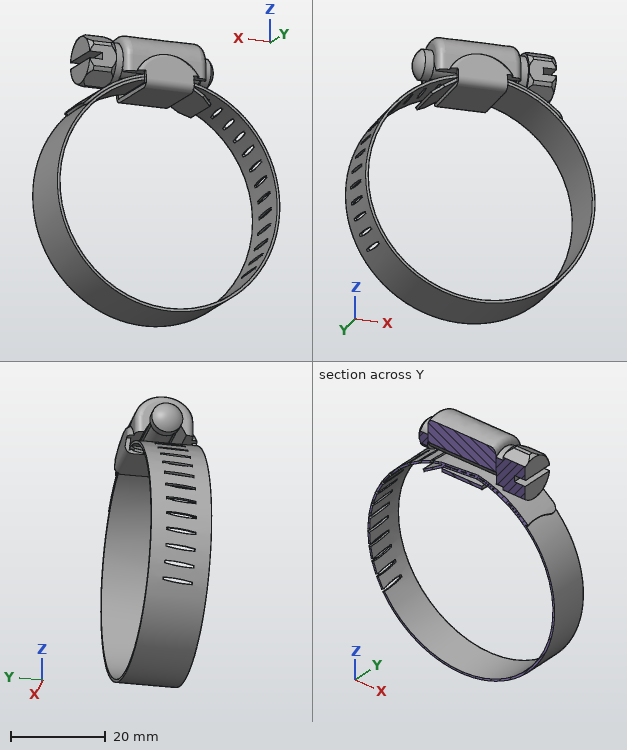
import cadquery as cq
import math


BAND_RADIUS = 25.6
BAND_THICKNESS = 0.6
BAND_WIDTH = 13.0
LAP_GAP = 0.03
FREE_END_ANGLE = 45.7
LIFT_END_ANGLE = 10.0
LIFT_START_ANGLE = -12.0
TAIL_LENGTH = 6.2
TAIL_SLOPE = 31.7
TAIL_BEND_SHIFT = 0.6
TAIL_TAPER_LENGTH = 2.55
TAIL_TAPER_WIDTH = 1.5
FREE_END_CORNER = 1.8
NOTCH_RADIUS = 10.55
NOTCH_DEPTH = 1.0

SLOT_COUNT = 14
FIRST_SLOT_ANGLE = -17.7
SLOT_PITCH = 8.0
SLOT_HALF_LENGTH = 3.15
SLOT_END_HALF_WIDTH = 0.25
SLOT_MID_HALF_WIDTH = 0.4
SLOT_SKEW = 0.3

HOUSING_CENTRE_X = 0.2
HOUSING_LENGTH = 18.75
HOUSING_HALF_WIDTH = 6.25
HOUSING_BOTTOM = 26.15
WALL_TOP = 29.7
ROOF_TOP = 60.7 - BAND_RADIUS
HOUSING_END_FILLET = 1.5

STRAP_LENGTH = 11.0
STRAP_THICKNESS = 0.9
STRAP_BOTTOM = 22.6
STRAP_HALF_WIDTH = 7.8
BEND_TOP = 24.3
STRAP_BOTTOM_HALF_WIDTH = 6.4
FLANK_LEAN = 9.0
LUG_RADIUS = 7.8
LUG_CENTRE_Z = 22.7
LUG_FILLET = 0.9

SCREW_Z = 28.95
NOSE_RADIUS = 3.35
NOSE_TIP_X = -12.75
NOSE_SHOULDER_X = -11.15
CORE_RADIUS = 2.8
COLLAR_RADIUS = 4.5
HEAD_START_X = 11.4
HEAD_END_X = 17.55
HEAD_ACROSS_FLATS = 10.15
HEAD_TURNED_RADIUS = 5.6
HEAD_CHAMFER_LENGTH = 1.0
HEAD_CHAMFER_DEPTH = 0.5
DRIVER_SLOT_WIDTH = 1.45
DRIVER_SLOT_DEPTH = 3.0

FLARE_TOP_Z = 28.4
FLARE_TOP_HALF_WIDTH = 3.2
FLARE_BOTTOM_HALF_WIDTH = 4.55

housing_start_x = HOUSING_CENTRE_X - HOUSING_LENGTH / 2
housing_end_x = HOUSING_CENTRE_X + HOUSING_LENGTH / 2


def polar(radius, angle):
    """Point (x, z) at an angle in degrees from +Z toward +X."""
    return radius * math.sin(math.radians(angle)), radius * math.cos(math.radians(angle))


def tangent_plane(radius, angle):
    """Plane touching a circle about Y: local x is +Y, local y is toward -angle."""
    x, z = polar(radius, angle)
    normal_x, normal_z = polar(1, angle)
    return cq.Plane(origin=(x, 0, z), xDir=(0, 1, 0), normal=(normal_x, 0, normal_z))


def end_corners(body, point):
    """The two corner edges of the band end whose end face is centred at (x, z)."""
    corners = [(point[0], side * BAND_WIDTH / 2, point[1]) for side in (-1, 1)]
    selectors = [cq.selectors.NearestToPointSelector(corner) for corner in corners]
    return body.edges(selectors[0] + selectors[1])


def make_slot(angle):
    """Cutter for one skewed slot with bowed sides, reaching through the outer band layer at the angle."""
    end_y = SLOT_HALF_LENGTH
    outline = (
        cq.Workplane(tangent_plane(BAND_RADIUS - 2 * BAND_THICKNESS, angle))
        .moveTo(-end_y, SLOT_SKEW + SLOT_END_HALF_WIDTH)
        .threePointArc((0, SLOT_MID_HALF_WIDTH), (end_y, -SLOT_SKEW + SLOT_END_HALF_WIDTH))
        .lineTo(end_y, -SLOT_SKEW - SLOT_END_HALF_WIDTH)
        .threePointArc((0, -SLOT_MID_HALF_WIDTH), (-end_y, SLOT_SKEW - SLOT_END_HALF_WIDTH))
        .close()
    )
    return outline.extrude(3 * BAND_THICKNESS)


def make_band():
    """One strip: free outer end, straight rise, ring, inner layer and tail, with slots."""
    inner_radius = BAND_RADIUS - BAND_THICKNESS
    lap_inner_radius = BAND_RADIUS + LAP_GAP
    lap_outer_radius = lap_inner_radius + BAND_THICKNESS
    lap_middle_angle = (FREE_END_ANGLE + LIFT_END_ANGLE) / 2

    tail_top = polar(inner_radius - LAP_GAP, LIFT_START_ANGLE)
    tail_bend_bottom = polar(inner_radius - LAP_GAP - BAND_THICKNESS, LIFT_START_ANGLE + TAIL_BEND_SHIFT)
    slope = math.radians(TAIL_SLOPE)
    tail_end_top = (
        tail_top[0] - TAIL_LENGTH * math.cos(slope),
        tail_top[1] - TAIL_LENGTH * math.sin(slope),
    )
    tail_end_bottom = (
        tail_end_top[0] + BAND_THICKNESS * math.sin(slope),
        tail_end_top[1] - BAND_THICKNESS * math.cos(slope),
    )

    outline = (
        cq.Workplane("XZ")
        .moveTo(*polar(lap_outer_radius, FREE_END_ANGLE))
        .threePointArc(polar(lap_outer_radius, lap_middle_angle), polar(lap_outer_radius, LIFT_END_ANGLE))
        .lineTo(*polar(BAND_RADIUS, LIFT_START_ANGLE))
        .threePointArc(polar(BAND_RADIUS, 180), polar(BAND_RADIUS, LIFT_END_ANGLE))
        .lineTo(*tail_top)
        .lineTo(*tail_end_top)
        .lineTo(*tail_end_bottom)
        .lineTo(*tail_bend_bottom)
        .lineTo(*polar(inner_radius, LIFT_END_ANGLE))
        .threePointArc(polar(inner_radius, 180), polar(inner_radius, LIFT_START_ANGLE))
        .lineTo(*polar(lap_inner_radius, LIFT_END_ANGLE))
        .threePointArc(polar(lap_inner_radius, lap_middle_angle), polar(lap_inner_radius, FREE_END_ANGLE))
        .close()
    )
    body = outline.extrude(BAND_WIDTH / 2, both=True)

    tail_end = ((tail_end_top[0] + tail_end_bottom[0]) / 2, (tail_end_top[1] + tail_end_bottom[1]) / 2)
    body = end_corners(body, tail_end).chamfer(TAIL_TAPER_LENGTH, TAIL_TAPER_WIDTH)
    free_end = polar(lap_inner_radius + BAND_THICKNESS / 2, FREE_END_ANGLE)
    body = end_corners(body, free_end).fillet(FREE_END_CORNER)

    notch = (
        cq.Workplane(tangent_plane(BAND_RADIUS + LAP_GAP / 2, FREE_END_ANGLE))
        .center(0, NOTCH_DEPTH - NOTCH_RADIUS)
        .circle(NOTCH_RADIUS)
        .extrude(2 * BAND_THICKNESS)
    )
    body = body.cut(notch)

    for index in range(SLOT_COUNT):
        body = body.cut(make_slot(FIRST_SLOT_ANGLE - index * SLOT_PITCH))
    return body


def flank_half_width(z):
    """Half width of the saddle's leaning outer flanks at a height."""
    return STRAP_HALF_WIDTH - (z - BEND_TOP) * math.tan(math.radians(FLANK_LEAN))


def make_shell():
    """Domed housing block with rounded end edges."""
    body = (
        cq.Workplane("YZ", origin=(housing_start_x, 0, 0))
        .moveTo(HOUSING_HALF_WIDTH, HOUSING_BOTTOM)
        .lineTo(HOUSING_HALF_WIDTH, WALL_TOP)
        .ellipseArc(HOUSING_HALF_WIDTH, ROOF_TOP - WALL_TOP, 0, 180, startAtCurrent=True)
        .lineTo(-HOUSING_HALF_WIDTH, HOUSING_BOTTOM)
        .close()
        .extrude(HOUSING_LENGTH)
    )
    for end in ("<X", ">X"):
        body = body.faces(end).edges("not <Z").fillet(HOUSING_END_FILLET)
    return body


def make_lugs():
    """Two rounded pads on the housing walls, made as one disc segment across the housing."""
    top_z = LUG_CENTRE_Z + LUG_RADIUS + LUG_FILLET
    wedge = (
        cq.Workplane("YZ", origin=(HOUSING_CENTRE_X, 0, 0))
        .polyline([
            (-flank_half_width(HOUSING_BOTTOM), HOUSING_BOTTOM),
            (-flank_half_width(top_z), top_z),
            (flank_half_width(top_z), top_z),
            (flank_half_width(HOUSING_BOTTOM), HOUSING_BOTTOM),
        ])
        .close()
        .extrude(LUG_RADIUS, both=True)
    )
    disc = (
        cq.Workplane("XZ")
        .center(HOUSING_CENTRE_X, LUG_CENTRE_Z)
        .circle(LUG_RADIUS)
        .extrude(STRAP_HALF_WIDTH, both=True)
    )
    lugs = wedge.intersect(disc)
    for side in ("<Y", ">Y"):
        lugs = lugs.faces(side).edges("not <Z").fillet(LUG_FILLET)
    return lugs


def make_strap():
    """Strap with bent lower corners that carries the band under the housing."""
    lug_top_half_width = flank_half_width(HOUSING_BOTTOM)
    bend_height = BEND_TOP - STRAP_BOTTOM
    bend_run = STRAP_HALF_WIDTH - STRAP_BOTTOM_HALF_WIDTH
    bend_middle_y = STRAP_BOTTOM_HALF_WIDTH + bend_run * math.sqrt(0.5)
    bend_middle_z = BEND_TOP - bend_height * math.sqrt(0.5)
    strap_start_x = HOUSING_CENTRE_X - STRAP_LENGTH / 2
    outer = (
        cq.Workplane("YZ", origin=(strap_start_x, 0, 0))
        .moveTo(-lug_top_half_width, HOUSING_BOTTOM)
        .lineTo(-STRAP_HALF_WIDTH, BEND_TOP)
        .threePointArc((-bend_middle_y, bend_middle_z), (-STRAP_BOTTOM_HALF_WIDTH, STRAP_BOTTOM))
        .lineTo(STRAP_BOTTOM_HALF_WIDTH, STRAP_BOTTOM)
        .threePointArc((bend_middle_y, bend_middle_z), (STRAP_HALF_WIDTH, BEND_TOP))
        .lineTo(lug_top_half_width, HOUSING_BOTTOM)
        .close()
        .extrude(STRAP_LENGTH)
    )
    floor_z = STRAP_BOTTOM + STRAP_THICKNESS
    passage_top = lug_top_half_width - STRAP_THICKNESS
    passage_bottom = STRAP_HALF_WIDTH - STRAP_THICKNESS
    passage = (
        cq.Workplane("YZ", origin=(strap_start_x, 0, 0))
        .polyline([
            (-passage_top, HOUSING_BOTTOM),
            (-passage_bottom, floor_z),
            (passage_bottom, floor_z),
            (passage_top, HOUSING_BOTTOM),
        ])
        .close()
        .extrude(STRAP_LENGTH)
    )
    return outer.cut(passage)


def make_screw_channel():
    """Round bore for the screw with a flared opening down to the housing's underside."""
    bore = (
        cq.Workplane("YZ", origin=(housing_start_x, 0, 0))
        .center(0, SCREW_Z)
        .circle(CORE_RADIUS)
        .extrude(HOUSING_LENGTH)
    )
    flare = (
        cq.Workplane("YZ", origin=(housing_start_x, 0, 0))
        .polyline([
            (-FLARE_TOP_HALF_WIDTH, FLARE_TOP_Z),
            (-FLARE_BOTTOM_HALF_WIDTH, HOUSING_BOTTOM),
            (FLARE_BOTTOM_HALF_WIDTH, HOUSING_BOTTOM),
            (FLARE_TOP_HALF_WIDTH, FLARE_TOP_Z),
        ])
        .close()
        .extrude(HOUSING_LENGTH)
    )
    return bore.union(flare)


def make_housing():
    return make_shell().union(make_lugs()).union(make_strap()).cut(make_screw_channel())


def revolve_about_screw_axis(outline):
    return outline.close().revolve(360, (0, 0, 0), (1, 0, 0))


def make_shank():
    """Domed nose, core inside the housing, and collar."""
    cap_height = NOSE_SHOULDER_X - NOSE_TIP_X
    cap_radius = (NOSE_RADIUS**2 + cap_height**2) / (2 * cap_height)
    half_angle = math.asin(NOSE_RADIUS / cap_radius) / 2
    cap_middle = (
        NOSE_TIP_X + cap_radius * (1 - math.cos(half_angle)),
        cap_radius * math.sin(half_angle),
    )
    outline = (
        cq.Workplane("XZ", origin=(0, 0, SCREW_Z))
        .moveTo(NOSE_TIP_X, 0)
        .threePointArc(cap_middle, (NOSE_SHOULDER_X, NOSE_RADIUS))
        .lineTo(housing_start_x, NOSE_RADIUS)
        .lineTo(housing_start_x, CORE_RADIUS)
        .lineTo(housing_end_x, CORE_RADIUS)
        .lineTo(housing_end_x, COLLAR_RADIUS)
        .lineTo(HEAD_START_X, COLLAR_RADIUS)
        .lineTo(HEAD_START_X, 0)
    )
    return revolve_about_screw_axis(outline)


def make_head():
    """Hexagon with corners at top and bottom, turned down and chamfered, with a driver slot."""
    across_corners = HEAD_ACROSS_FLATS / math.cos(math.radians(30))
    hexagon = (
        cq.Workplane("YZ", origin=(HEAD_START_X, 0, SCREW_Z))
        .transformed(rotate=(0, 0, 90))
        .polygon(6, across_corners)
        .extrude(HEAD_END_X - HEAD_START_X)
    )
    end_radius = HEAD_TURNED_RADIUS - HEAD_CHAMFER_DEPTH
    turned = revolve_about_screw_axis(
        cq.Workplane("XZ", origin=(0, 0, SCREW_Z))
        .moveTo(HEAD_START_X, 0)
        .lineTo(HEAD_START_X, end_radius)
        .lineTo(HEAD_START_X + HEAD_CHAMFER_LENGTH, HEAD_TURNED_RADIUS)
        .lineTo(HEAD_END_X - HEAD_CHAMFER_LENGTH, HEAD_TURNED_RADIUS)
        .lineTo(HEAD_END_X, end_radius)
        .lineTo(HEAD_END_X, 0)
    )
    driver_slot = cq.Workplane(
        "XY", origin=(HEAD_END_X - DRIVER_SLOT_DEPTH / 2, 0, SCREW_Z)
    ).box(DRIVER_SLOT_DEPTH, across_corners, DRIVER_SLOT_WIDTH)
    return hexagon.intersect(turned).cut(driver_slot)


def make_screw():
    return make_shank().union(make_head())


band = make_band()
housing = make_housing()
screw = make_screw()

result = cq.Compound.makeCompound([body.solids().val() for body in (band, housing, screw)])